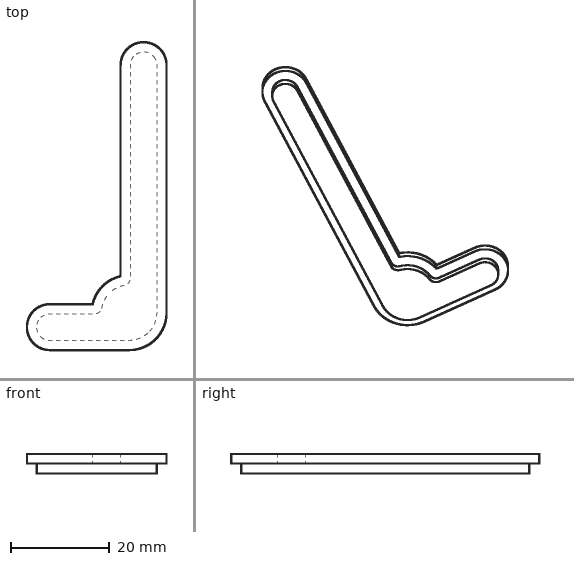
import cadquery as cq
import math

width = 28.3
length = 62.3
arm_width = 9.35
hub_radius = 7.6

layer_thickness = 2.0
inset = 2.0
notch_fillet = 1.5

outer_side = hub_radius
arm_axis = outer_side - arm_width / 2
short_arm_reach = width - outer_side - arm_width / 2
long_arm_reach = length - outer_side - arm_width / 2


def arm(reach, half_width):
    """Straight arm along +X from the elbow centre line, with a round far end."""
    return (
        cq.Workplane("XY")
        .moveTo(0, -half_width)
        .lineTo(reach, -half_width)
        .threePointArc((reach + half_width, 0), (reach, half_width))
        .lineTo(0, half_width)
        .close()
        .extrude(layer_thickness)
    )


def layer(offset):
    """One layer of the plate, its outline moved inwards by offset."""
    half_width = arm_width / 2 - offset
    hub = cq.Workplane("XY").circle(hub_radius - offset).extrude(layer_thickness)
    long_arm = arm(long_arm_reach, half_width).rotate((0, 0, 0), (0, 0, 1), 90)
    short_arm = arm(short_arm_reach, half_width).rotate((0, 0, 0), (0, 0, 1), 180)
    return (
        hub.union(long_arm.translate((arm_axis, 0, 0)))
        .union(short_arm.translate((0, -arm_axis, 0)))
    )


def fillet_notches(body, offset):
    """Round the two inner corners where the elbow disc meets the arms."""
    arm_inner_side = arm_axis - arm_width / 2 + offset
    notch_distance = math.sqrt((hub_radius - offset) ** 2 - arm_inner_side ** 2)
    mid_height = layer_thickness / 2
    long_arm_notch = (arm_inner_side, notch_distance, mid_height)
    short_arm_notch = (-notch_distance, -arm_inner_side, mid_height)
    for notch in (long_arm_notch, short_arm_notch):
        body = body.edges("|Z").edges(cq.NearestToPointSelector(notch)).fillet(notch_fillet)
    return body


upper_layer = layer(0).translate((0, 0, layer_thickness))
lower_layer = fillet_notches(layer(inset), inset)

result = upper_layer.union(lower_layer)